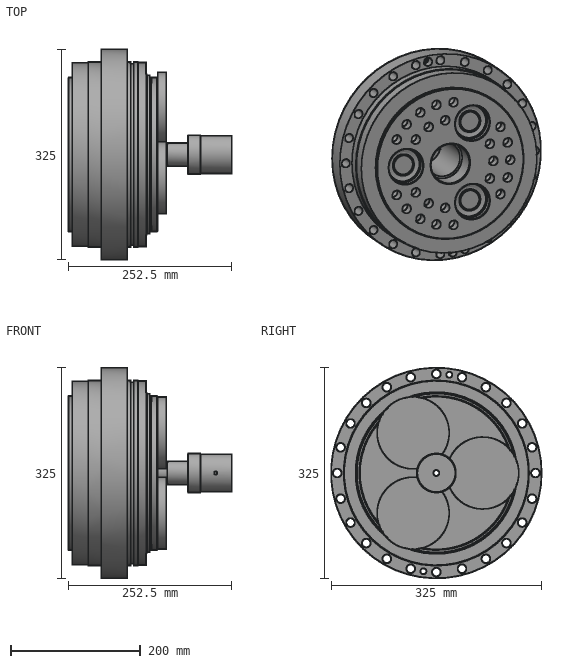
import cadquery as cq
import math


plate_step = 6.2
register_start = 31.5
flange_start = 51.0
flange_end = 91.5
groove_start = 96.5
groove_end = 101.0
seal_land_end = 107.2
rear_land_start = 108.5
housing_end = 120.2
cover_taper_end = 122.0
cover_end = 126.0
neck_end = 128.5
body_end = 138.0
gear_end = 151.5
shaft_start = 153.0
collar_start = 184.5
collar_end = 203.8
sleeve_start = 204.5
overall_length = 252.5

flange_radius = 162.5
register_radius = 143.0
housing_radius = 141.7
rear_land_radius = 142.0
groove_radius = 140.0
cover_big_radius = 124.8
cover_radius = 122.5
plate_radius = 119.0
neck_radius = 110.5
plate_chamfer = 1.3
shaft_radius = 18.2
collar_radius = 30.2
sleeve_radius = 29.2
collar_chamfer = 1.0

bore_diameter = 61.8
bore_chamfer = 1.3
bore_ledge = 38.0
inner_bore_diameter = 55.0
pinion_diameter = 32.5
pinion_face_diameter = 24.0
pinion_start = 133.2
pinion_chamfer_length = 2.0
shaft_hole_diameter = 8.8
set_screw_diameter = 5.0
set_screw_station = 227.5

crank_circle_radius = 71.5
crank_angles = (60, 180, 300)
gear_diameter = 111.0
pocket_diameter = 55.0
pocket_chamfer = 1.0
pocket_depth = 11.7
race_diameter = 51.5
race_floor_diameter = 39.5
race_wall_depth = 1.5
race_cone_depth = 1.5
crank_rim_diameter = 33.8
crank_rim_height = 2.5
crank_dish_diameter = 32.0
crank_dish_depth = 1.0

flange_bolt_count = 24
flange_bolt_circle = 152.8
flange_bolt_diameter = 13.0
jack_hole_diameter = 8.8
jack_counterbore_depth = 19.5
jack_angles = (97.5, 277.5)
output_hole_diameter = 14.0
output_hole_depth = 19.5
drill_point_angle = 118
outer_bolt_circle = 97.0
outer_bolt_spacing = 16.6
inner_bolt_circle = 69.5
inner_bolt_spacing = 23.2
bolt_group_angles = (0, 120, 240)
dowel_angle = 240


def turned(profile):
    """Solid of revolution about X from (station, radius) points, closed along the axis."""
    closed = [(profile[0][0], 0)] + profile
    if profile[-1][1] > 0:
        closed.append((profile[-1][0], 0))
    return cq.Workplane("XY").polyline(closed).close().revolve(360, (0, 0, 0), (1, 0, 0))


def on_circle(radius, angle):
    """Local (y, z) of a point at an angle measured from -Y towards +Z."""
    turn = math.radians(angle)
    return -radius * math.cos(turn), radius * math.sin(turn)


def cylinders(points, diameter, start, end):
    """Cylinders along X at the given (y, z) points."""
    plane = cq.Workplane("YZ", origin=(start, 0, 0))
    return plane.pushPoints(points).circle(diameter / 2).extrude(end - start)


def turned_at(profile, radius, angles):
    """Copies of a turned solid, moved to places around the main axis."""
    solid = turned(profile)
    copies = cq.Workplane("YZ")
    for angle in angles:
        y, z = on_circle(radius, angle)
        copies = copies.add(solid.translate((0, y, z)))
    return copies.combine()


def make_body():
    return turned([
        (0, plate_radius - plate_chamfer),
        (plate_chamfer, plate_radius),
        (plate_step, plate_radius),
        (plate_step, housing_radius),
        (register_start, housing_radius),
        (register_start, register_radius),
        (flange_start, register_radius),
        (flange_start, flange_radius),
        (flange_end, flange_radius),
        (flange_end, register_radius),
        (groove_start, register_radius),
        (groove_start, groove_radius),
        (groove_end, groove_radius),
        (groove_end, register_radius),
        (seal_land_end, register_radius),
        (rear_land_start, rear_land_radius),
        (housing_end, rear_land_radius),
        (housing_end, cover_big_radius),
        (cover_taper_end, cover_radius),
        (cover_end, cover_radius),
        (cover_end, neck_radius),
        (neck_end, neck_radius),
        (neck_end, plate_radius),
        (body_end - plate_chamfer, plate_radius),
        (body_end, plate_radius - plate_chamfer),
    ])


def make_bore():
    return turned([
        (0, bore_diameter / 2 + bore_chamfer),
        (bore_chamfer, bore_diameter / 2),
        (bore_ledge, bore_diameter / 2),
        (bore_ledge, inner_bore_diameter / 2),
        (body_end, inner_bore_diameter / 2),
    ])


def make_crank_pockets():
    cone_start = pocket_depth + race_wall_depth
    floor = cone_start + race_cone_depth
    rim_face = floor - crank_rim_height
    profile = [
        (0, pocket_diameter / 2 + pocket_chamfer),
        (pocket_chamfer, pocket_diameter / 2),
        (pocket_depth, pocket_diameter / 2),
        (pocket_depth, race_diameter / 2),
        (cone_start, race_diameter / 2),
        (floor, race_floor_diameter / 2),
        (floor, crank_rim_diameter / 2),
        (rim_face, crank_rim_diameter / 2),
        (rim_face, crank_dish_diameter / 2),
        (rim_face + crank_dish_depth, crank_dish_diameter / 2 - crank_dish_depth),
    ]
    return turned_at(profile, crank_circle_radius, crank_angles)


def make_gears():
    centres = [on_circle(crank_circle_radius, angle) for angle in crank_angles]
    return cylinders(centres, gear_diameter, body_end, gear_end)


def make_input_shaft():
    shaft = turned([
        (pinion_start, pinion_face_diameter / 2),
        (pinion_start + pinion_chamfer_length, pinion_diameter / 2),
        (shaft_start, pinion_diameter / 2),
        (shaft_start, shaft_radius),
        (collar_start, shaft_radius),
        (collar_start, collar_radius - collar_chamfer),
        (collar_start + collar_chamfer, collar_radius),
        (collar_end, collar_radius),
        (sleeve_start, sleeve_radius),
        (overall_length, sleeve_radius),
    ])
    axial_hole = cylinders([(0, 0)], shaft_hole_diameter, pinion_start, overall_length)
    set_screw_hole = (
        cq.Workplane("XZ", origin=(set_screw_station, 0, 0))
        .circle(set_screw_diameter / 2)
        .extrude(sleeve_radius)
    )
    return shaft.cut(axial_hole).cut(set_screw_hole)


def make_flange_holes():
    pitch = 360 / flange_bolt_count
    bolts = [on_circle(flange_bolt_circle, i * pitch) for i in range(flange_bolt_count)]
    jacks = [on_circle(flange_bolt_circle, angle) for angle in jack_angles]
    holes = cylinders(bolts, flange_bolt_diameter, flange_start, flange_end)
    counterbores = cylinders(jacks, flange_bolt_diameter, flange_start, flange_start + jack_counterbore_depth)
    jack_holes = cylinders(jacks, jack_hole_diameter, flange_start, flange_end)
    return holes.add(counterbores).add(jack_holes).combine()


def make_output_holes():
    radius = output_hole_diameter / 2
    point_length = radius / math.tan(math.radians(drill_point_angle / 2))
    dowel = [(0, radius), (output_hole_depth, radius)]
    drilled = dowel + [(output_hole_depth + point_length, 0)]
    rows = (
        (outer_bolt_circle, outer_bolt_spacing, (-2, -1, 0, 1, 2)),
        (inner_bolt_circle, inner_bolt_spacing, (-1, 0, 1)),
    )
    holes = cq.Workplane("YZ")
    for circle_radius, spacing, steps in rows:
        angles = [group + step * spacing for group in bolt_group_angles for step in steps]
        angles.remove(dowel_angle)
        holes = holes.add(turned_at(drilled, circle_radius, angles))
        holes = holes.add(turned_at(dowel, circle_radius, [dowel_angle]))
    return holes.combine()


body = make_body().cut(make_bore()).cut(make_crank_pockets())
body = body.cut(make_flange_holes()).cut(make_output_holes())
result = body.union(make_gears()).union(make_input_shaft())